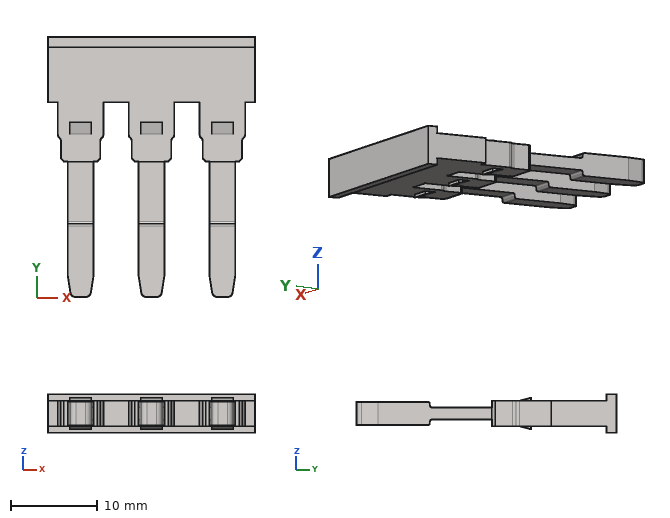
import cadquery as cq
import math

total_length = 30.15
rear_y = total_length / 2
tip_y = -total_length / 2

part_width = 24.0
flange_height = 4.5
flange_length = 1.2
plate_thickness = 2.95
plate_front_y = rear_y - 7.6

pole_pitch = 8.2
pole_positions = [-pole_pitch, 0.0, pole_pitch]
housing_half_width = 2.65
housing_front_y = rear_y - 14.45
housing_chamfer = 0.35
shoulder_rear_y = rear_y - 11.3
shoulder_radius = 0.5
shoulder_depth = 0.35

latch_width = 2.5
latch_length = 1.33
latch_height = 0.35
latch_rear_y = rear_y - 9.92

prong_width = 3.02
neck_thickness = 1.42
blade_thickness = 2.7
blade_rear_y = rear_y - 21.62
step_radius = 0.27
taper_rear_y = rear_y - 27.65
tip_width = 2.23
tip_radius = 0.65
prong_root = 0.6


def box_between(width, rear, front, height):
    """Box centred on X and Z that spans the given Y range."""
    return cq.Workplane("XY").box(width, rear - front, height).translate((0, (rear + front) / 2, 0))


def make_housing():
    """Housing narrowing through S-shaped shoulders to a chamfered front end."""
    narrow_half_width = housing_half_width - shoulder_depth
    turn_angle = math.acos(1 - shoulder_depth / (2 * shoulder_radius))
    shoulder_length = 2 * shoulder_radius * math.sin(turn_angle)
    shoulder_front_y = shoulder_rear_y - shoulder_length
    arc_mid_depth = shoulder_radius * (1 - math.cos(turn_angle / 2))
    arc_mid_length = shoulder_radius * math.sin(turn_angle / 2)
    convex_mid = (housing_half_width - arc_mid_depth, shoulder_rear_y - arc_mid_length)
    inflection = (housing_half_width - shoulder_depth / 2, shoulder_rear_y - shoulder_length / 2)
    concave_mid = (narrow_half_width + arc_mid_depth, shoulder_front_y + arc_mid_length)
    half = (
        cq.Workplane("XY", origin=(0, 0, -plate_thickness / 2))
        .moveTo(0, plate_front_y)
        .lineTo(housing_half_width, plate_front_y)
        .lineTo(housing_half_width, shoulder_rear_y)
        .threePointArc(convex_mid, inflection)
        .threePointArc(concave_mid, (narrow_half_width, shoulder_front_y))
        .lineTo(narrow_half_width, housing_front_y + housing_chamfer)
        .lineTo(narrow_half_width - housing_chamfer, housing_front_y)
        .lineTo(0, housing_front_y)
        .close()
        .extrude(plate_thickness)
    )
    return half.union(half.mirror("YZ"))


def make_latches():
    """Two wedges, tallest at the rear, that slope down to the housing faces."""
    face_z = plate_thickness / 2
    latch_front_y = latch_rear_y - latch_length
    upper = (
        cq.Workplane("YZ", origin=(-latch_width / 2, 0, 0))
        .moveTo(latch_rear_y, 0)
        .lineTo(latch_rear_y, face_z + latch_height)
        .lineTo(latch_front_y, face_z)
        .lineTo(latch_front_y, 0)
        .close()
        .extrude(latch_width)
    )
    return upper.union(upper.mirror("XY"))


def make_prong():
    """Thin neck stepping up through rounded corners to a thick blade whose tip tapers in width."""
    root_y = housing_front_y + prong_root
    neck_z = neck_thickness / 2
    blade_z = blade_thickness / 2
    side_profile = (
        cq.Workplane("YZ", origin=(-prong_width / 2, 0, 0))
        .polyline([
            (root_y, -neck_z),
            (root_y, neck_z),
            (blade_rear_y, neck_z),
            (blade_rear_y, blade_z),
            (tip_y, blade_z),
            (tip_y, -blade_z),
            (blade_rear_y, -blade_z),
            (blade_rear_y, -neck_z),
        ])
        .close()
        .extrude(prong_width)
    )
    step_edges = cq.selectors.BoxSelector(
        (-prong_width, blade_rear_y - step_radius, -blade_thickness),
        (prong_width, blade_rear_y + step_radius, blade_thickness),
    )
    side_profile = side_profile.edges("|X").edges(step_edges).fillet(step_radius)
    outline = (
        cq.Workplane("XY", origin=(0, 0, -blade_z))
        .polyline([
            (-prong_width / 2, root_y),
            (prong_width / 2, root_y),
            (prong_width / 2, taper_rear_y),
            (tip_width / 2, tip_y),
            (-tip_width / 2, tip_y),
            (-prong_width / 2, taper_rear_y),
        ])
        .close()
        .extrude(blade_thickness)
        .edges("|Z and <Y")
        .fillet(tip_radius)
    )
    return side_profile.intersect(outline)


flange = box_between(part_width, rear_y, rear_y - flange_length, flange_height)
plate = box_between(part_width, rear_y, plate_front_y, plate_thickness)
pole = make_housing().union(make_latches()).union(make_prong())

result = flange.union(plate)
for x in pole_positions:
    result = result.union(pole.translate((x, 0, 0)))